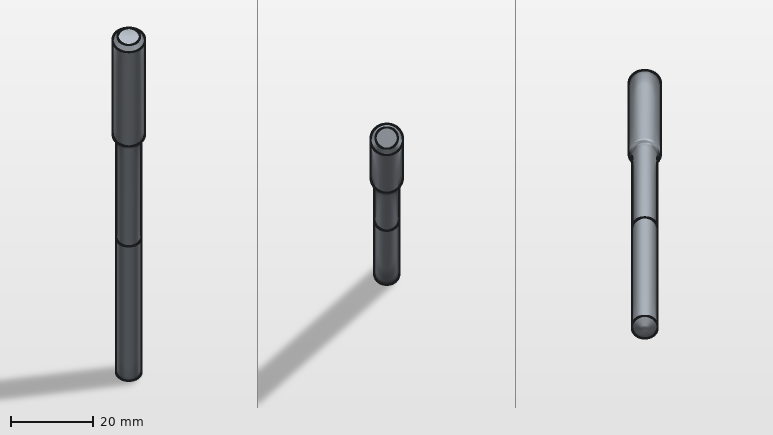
import cadquery as cq
import math

TOTAL_LENGTH = 126.0
SHANK_DIAMETER = 8.0
SHANK_CHAMFER = 1.3
SHANK_BOTTOM_Z = 90.0
BLEND_RADIUS = 0.9
NECK_DIAMETER = 6.2

CUTTER_DIAMETER = 6.3
CUTTER_TOP_Z = 51.5
POINT_HEIGHT = 1.5


def make_holder():
    """Shank, S-shaped blend and neck, standing on the flat top of the cutter."""
    shank_radius = SHANK_DIAMETER / 2
    neck_radius = NECK_DIAMETER / 2

    half_step = (shank_radius - neck_radius) / 2
    arc_angle = math.acos(1 - half_step / BLEND_RADIUS)
    arc_height = BLEND_RADIUS * math.sin(arc_angle)
    blend_middle = (neck_radius + half_step, SHANK_BOTTOM_Z - arc_height)
    blend_top = (shank_radius, SHANK_BOTTOM_Z)
    neck_top_z = SHANK_BOTTOM_Z - 2 * arc_height

    return (
        cq.Workplane("XZ")
        .moveTo(0, CUTTER_TOP_Z)
        .lineTo(neck_radius, CUTTER_TOP_Z)
        .lineTo(neck_radius, neck_top_z)
        .tangentArcPoint(blend_middle, relative=False)
        .tangentArcPoint(blend_top, relative=False)
        .lineTo(shank_radius, TOTAL_LENGTH - SHANK_CHAMFER)
        .lineTo(shank_radius - SHANK_CHAMFER, TOTAL_LENGTH)
        .lineTo(0, TOTAL_LENGTH)
        .close()
        .revolve(360, (0, 0), (0, 1))
    )


def make_cutter():
    """Cutting cylinder with its conical point downward."""
    cutter_radius = CUTTER_DIAMETER / 2
    half_profile = [
        (0, 0),
        (cutter_radius, POINT_HEIGHT),
        (cutter_radius, CUTTER_TOP_Z),
        (0, CUTTER_TOP_Z),
    ]
    return cq.Workplane("XZ").polyline(half_profile).close().revolve(360, (0, 0), (0, 1))


holder = make_holder()
cutter = make_cutter()

result = cq.Compound.makeCompound([holder.val(), cutter.val()])